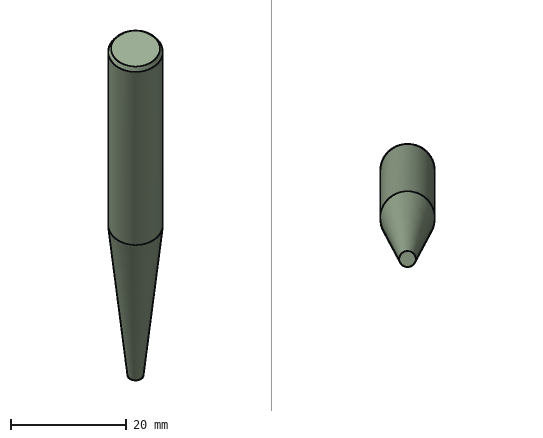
import cadquery as cq

total_length = 84.1
shank_diameter = 9.5
shank_radius = shank_diameter / 2

chamfer_height = 0.8
chamfer_width = 0.5

taper_length = 38.1
collar_length = 0.5
tip_diameter = 2.9
head_length = taper_length + collar_length


def make_shank():
    """Straight round shank, chamfered at its free upper end."""
    return (
        cq.Workplane("XY", origin=(0, 0, head_length))
        .circle(shank_radius)
        .extrude(total_length - head_length)
        .faces(">Z")
        .chamfer(chamfer_height, chamfer_width)
    )


def make_head():
    """Head that widens from a flat tip to a collar as wide as the shank."""
    profile = [
        (0, 0),
        (tip_diameter / 2, 0),
        (shank_radius, taper_length),
        (shank_radius, head_length),
        (0, head_length),
    ]
    return cq.Workplane("XZ").polyline(profile).close().revolve(360, (0, 0), (0, 1))


shank = make_shank()
head = make_head()

result = cq.Compound.makeCompound([shank.val(), head.val()])